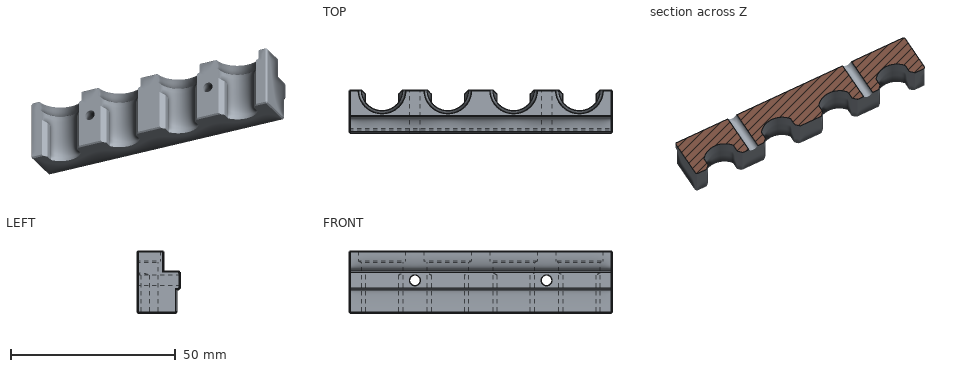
import cadquery as cq
length = 80.0
height = 19.0
depth = 13.2
top_depth = 8.2
foot_depth = 12.2
tongue_bottom = 7.1
tongue_top = 13.0
edge_chamfer = 0.4
tongue_chamfer = 0.6

seat_count = 4
seat_pitch = length / seat_count
rim_radius = 7.3
rim_depth = 0.4
collar_radius = 7.2
collar_depth = 3.0
barrel_radius = 6.3
barrel_depth = 3.0
cone_height = 0.6

throat_half_width = 5.0
lip_reach = barrel_radius - throat_half_width
lip_slope_height = 0.7

screw_diameter = 3.2
screw_spacing = 2 * seat_pitch
screw_height = (tongue_bottom + tongue_top) / 2

collar_floor = height - collar_depth
barrel_top = collar_floor - cone_height
lip_top = barrel_top - barrel_depth
throat_top = lip_top - lip_slope_height


def long_edge(y, z):
    """Selector for the lengthwise edge at the given outline corner."""
    return cq.selectors.NearestToPointSelector((0, y, z))


def make_body():
    """Stepped bar with its outer edges chamfered."""
    outline = [
        (0, 0),
        (-foot_depth, 0),
        (-foot_depth, tongue_bottom),
        (-depth, tongue_bottom),
        (-depth, tongue_top),
        (-top_depth, tongue_top),
        (-top_depth, height),
        (0, height),
    ]
    bar = cq.Workplane("YZ").polyline(outline).close().extrude(length / 2, both=True)
    tongue_edges = long_edge(-depth, tongue_bottom) + long_edge(-depth, tongue_top)
    bar = bar.edges(tongue_edges).chamfer(tongue_chamfer)
    body_edges = (
        long_edge(0, 0)
        + long_edge(0, height)
        + long_edge(-foot_depth, 0)
        + long_edge(-top_depth, height)
    )
    bar = bar.edges(body_edges).chamfer(edge_chamfer)
    return bar.faces("<X or >X").edges().chamfer(edge_chamfer)


def make_bore():
    """Rim, collar, cone and barrel as one solid of revolution about the seat axis."""
    half_section = [
        (0, 0),
        (barrel_radius, 0),
        (barrel_radius, barrel_top),
        (collar_radius, collar_floor),
        (collar_radius, height - rim_depth),
        (rim_radius, height),
        (0, height),
    ]
    return cq.Workplane("XZ").polyline(half_section).close().revolve(360, (0, 0), (0, 1))


def make_lip(side):
    """Lip with a sloped top and a 45 degree lead-in at the back; side is +1 or -1."""
    inner = side * throat_half_width
    outer = side * barrel_radius
    cross_section = [(inner, 0), (outer, 0), (outer, lip_top), (inner, throat_top)]
    lip = cq.Workplane("XZ").polyline(cross_section).close().extrude(barrel_radius)
    flare = [(inner, 0), (outer, 0), (inner, -lip_reach)]
    return lip.cut(cq.Workplane("XY").polyline(flare).close().extrude(height))


def make_seat():
    """Volume removed for one seat: the bore less its two lips."""
    return make_bore().cut(make_lip(1)).cut(make_lip(-1))


def add_seats(body):
    seat = make_seat()
    for index in range(seat_count):
        x = (index - (seat_count - 1) / 2) * seat_pitch
        body = body.cut(seat.translate((x, 0, 0)))
    return body


def add_screw_holes(body):
    holes = (
        cq.Workplane("XZ")
        .pushPoints([(-screw_spacing / 2, screw_height), (screw_spacing / 2, screw_height)])
        .circle(screw_diameter / 2)
        .extrude(depth)
    )
    return body.cut(holes)


result = add_screw_holes(add_seats(make_body()))